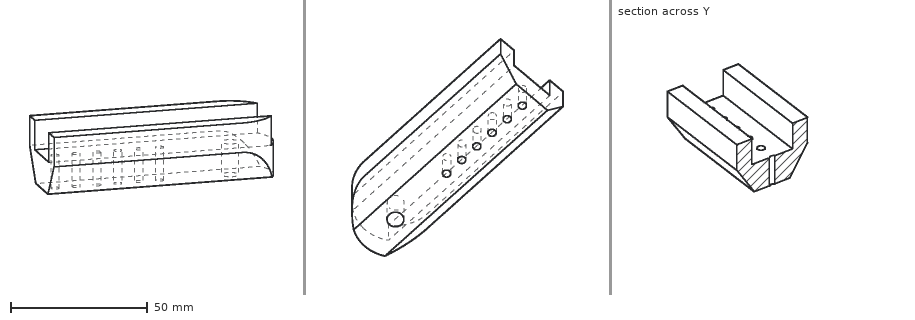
import cadquery as cq

width = 32.0
straight_length = 72.0
end_radius = width / 2
total_length = straight_length + end_radius

keel_height = 12.5
wall_height = 11.2
total_height = keel_height + wall_height
bottom_width = 16.0
channel_width = 18.2

pivot_hole_diameter = 6.2
small_hole_diameter = 3.0
small_hole_count = 6
small_hole_pitch = 8.0
first_small_hole_y = 5.0


def channel_bar():
    """Channel cross section extruded along +Y from the flat end at Y = 0."""
    section = [
        (-bottom_width / 2, 0),
        (bottom_width / 2, 0),
        (width / 2, keel_height),
        (width / 2, total_height),
        (channel_width / 2, total_height),
        (channel_width / 2, keel_height),
        (-channel_width / 2, keel_height),
        (-channel_width / 2, total_height),
        (-width / 2, total_height),
        (-width / 2, keel_height),
    ]
    return cq.Workplane("XZ").polyline(section).close().extrude(-total_length)


def round_end_envelope():
    """Full-height plan outline: flat at Y = 0, half round at +Y."""
    return (
        cq.Workplane("XY")
        .moveTo(-width / 2, 0)
        .lineTo(width / 2, 0)
        .lineTo(width / 2, straight_length)
        .threePointArc((0, total_length), (-width / 2, straight_length))
        .close()
        .extrude(total_height)
    )


def vertical_drill(y, diameter):
    """Cylinder on the centreline that cuts through the channel floor."""
    return cq.Workplane("XY").center(0, y).circle(diameter / 2).extrude(total_height)


result = channel_bar().intersect(round_end_envelope())

result = result.cut(vertical_drill(straight_length, pivot_hole_diameter))

for index in range(small_hole_count):
    hole_y = first_small_hole_y + index * small_hole_pitch
    result = result.cut(vertical_drill(hole_y, small_hole_diameter))